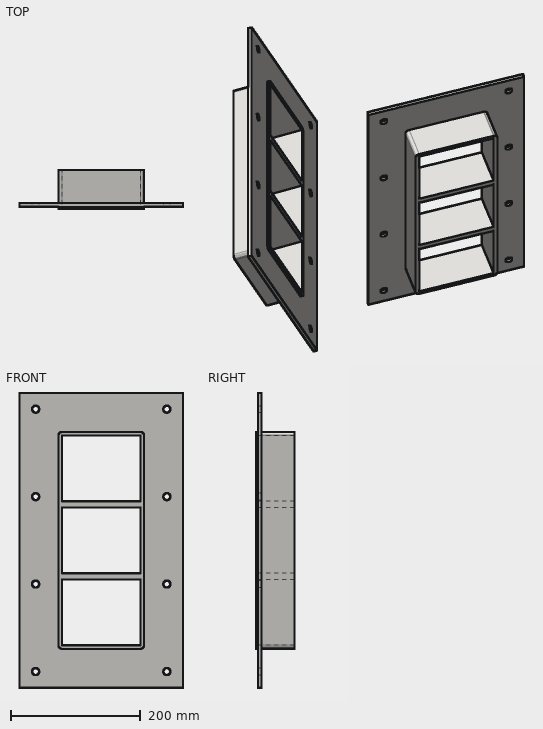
import cadquery as cq

window_width = 120.5
window_height = 101.0
window_count = 3
divider_thickness = 10.0

wall_thickness = 6.0
sleeve_depth = 60.0
sleeve_corner_radius = 6.0
window_pitch = window_height + divider_thickness
sleeve_width = window_width + 2 * wall_thickness
sleeve_height = window_count * window_pitch - divider_thickness + 2 * wall_thickness
sleeve_front_y = -sleeve_depth / 2

flange_margin = 60.0
flange_thickness = 6.0
flange_setback = 3.0
flange_width = sleeve_width + 2 * flange_margin
flange_height = sleeve_height + 2 * flange_margin
flange_front_y = sleeve_front_y + flange_setback

bolt_diameter = 10.5
bolt_edge_distance = 25.0
bolt_columns = 2
bolt_rows = 4
bolt_pitch_x = (flange_width - 2 * bolt_edge_distance) / (bolt_columns - 1)
bolt_pitch_z = (flange_height - 2 * bolt_edge_distance) / (bolt_rows - 1)


def facing_plane(y):
    """XZ work plane at the given Y; positive extrusion runs toward +Y."""
    return cq.Workplane(cq.Plane(origin=(0, y, 0), xDir=(-1, 0, 0), normal=(0, 1, 0)))


def make_sleeve():
    block = facing_plane(sleeve_front_y).rect(sleeve_width, sleeve_height).extrude(sleeve_depth)
    return block.edges("|Y").fillet(sleeve_corner_radius)


def make_flange():
    plate = facing_plane(flange_front_y).rect(flange_width, flange_height).extrude(flange_thickness)
    bolt_holes = (
        facing_plane(flange_front_y)
        .rarray(bolt_pitch_x, bolt_pitch_z, bolt_columns, bolt_rows)
        .circle(bolt_diameter / 2)
        .extrude(flange_thickness)
    )
    return plate.cut(bolt_holes)


def make_windows():
    return (
        facing_plane(sleeve_front_y)
        .rarray(1, window_pitch, 1, window_count)
        .rect(window_width, window_height)
        .extrude(sleeve_depth)
    )


result = make_flange().union(make_sleeve()).cut(make_windows())